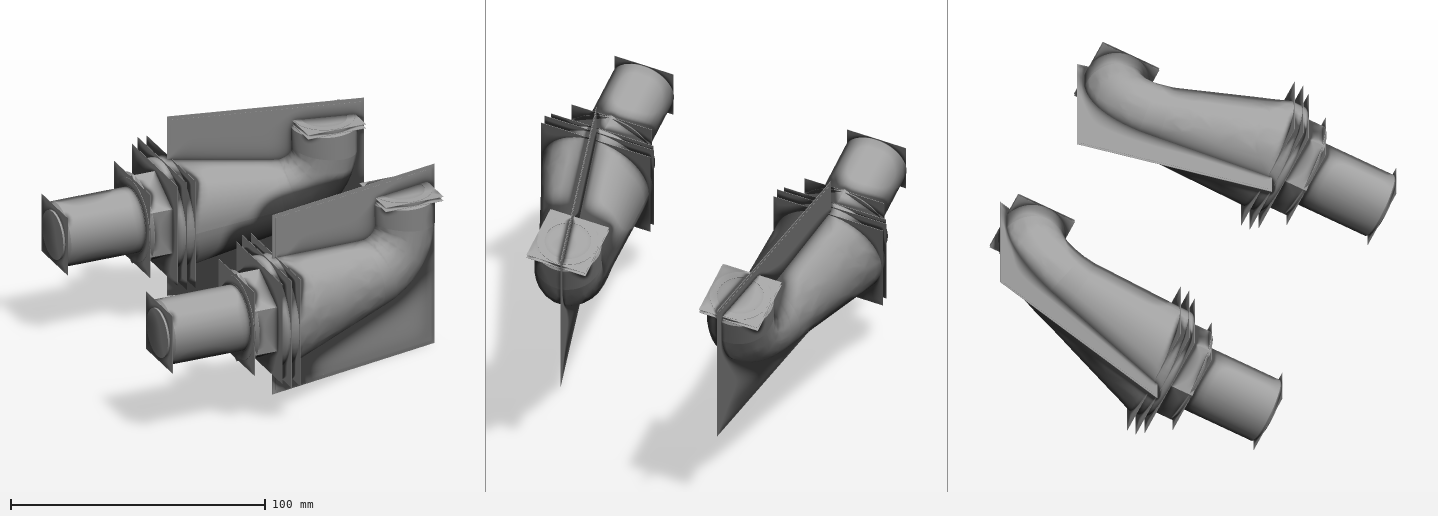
import cadquery as cq
import math


axis_x = 49.4
sheet = 0.1

tube_end_y = 0.9
nut_front_y = 34.3
collar_front_y = 44.2
collar_groove_y = 47.4
collar_back_y = 51.3

tube_r = 13.2
tube_chamfer = 1.2
tip_r = 10.0
tube_flange_half = 12.5

nut_across_flats = 33.1
nut_chamfer = 1.3
nut_cone_front_r = 17.6
nut_inner_land_r = 13.7
nut_flange_width = 34.0
nut_flange_height = 36.3
nut_land_r = nut_flange_width / 2

collar_r = 22.7
collar_fillet = 2.0
collar_flange_half = 23.3
collar_front_flange_half = 21.7

mouth_y = 111.5
mouth_r = 12.0
mouth_bore_r = 9.2
mouth_flange_half = 12.5
mouth_bottom_z = 32.8
mouth_top_z = 34.7

mouth_offset_x = 12.8
elbow_r = 13.2
elbow_run = math.hypot(mouth_offset_x, mouth_y - collar_back_y)
elbow_top_chamfer = 0.9
lean = math.degrees(math.atan2(mouth_offset_x, mouth_y - collar_back_y))
taper_end = (42.1, 3.5, 8.0, 15.1)
bend_start = (47.8, 4.5, 18.0, 14.5)
bend_middle = (57.8, 11.6, 50.0, 13.7)
bend_end = (61.5, 22.1, 83.0, elbow_r)
mouth_end = (elbow_run, mouth_bottom_z, 90.0, elbow_r)

plate_length = 79.5
plate_height = 78.0
plate_border = 1.6
plate_start = -1.7
plate_center_z = 2.6


def disc(radius, start_y, end_y):
    """Cylinder on the tube axis between two stations."""
    return cq.Workplane("XZ", origin=(0, end_y, 0)).circle(radius).extrude(end_y - start_y)


def flange(width, height, front_y):
    """Thin rectangular sheet across the tube axis, with its front face at the given station."""
    return cq.Workplane("XZ", origin=(0, front_y + sheet, 0)).rect(width, height).extrude(sheet)


def make_tube():
    tube = disc(tube_r, tube_end_y, collar_front_y).faces("<Y").chamfer(tube_chamfer)
    end_flange = flange(2 * tube_flange_half, 2 * tube_flange_half, tube_end_y)
    return tube.union(end_flange).union(disc(tip_r, 0, tube_end_y))


def make_nut():
    corner_diameter = nut_across_flats / math.cos(math.pi / 6)
    length = collar_front_y - nut_front_y
    hexagon = (
        cq.Workplane("XZ", origin=(0, collar_front_y, 0))
        .transformed(rotate=(0, 0, 90))
        .polygon(6, corner_diameter)
        .extrude(length)
    )
    cone = disc(nut_cone_front_r + nut_chamfer, nut_front_y, nut_front_y + nut_chamfer)
    cone = cone.faces("<Y").chamfer(nut_chamfer - sheet)
    front_flange = flange(nut_flange_width, nut_flange_height, nut_front_y)
    land = disc(nut_land_r, nut_front_y - sheet, nut_front_y)
    land = land.union(disc(nut_inner_land_r, nut_front_y - 2 * sheet, nut_front_y))
    bore = disc(tube_r, tube_end_y, collar_front_y)
    return hexagon.union(cone).union(front_flange).union(land).cut(bore)


def make_collar():
    collar = disc(collar_r, collar_front_y, collar_back_y).faces("<Y").edges().fillet(collar_fillet)
    side = 2 * collar_flange_half
    front_side = 2 * collar_front_flange_half
    collar = collar.union(flange(front_side, front_side, collar_front_y))
    collar = collar.union(flange(side, side, collar_groove_y))
    return collar.union(flange(side, side, collar_back_y - sheet))


def make_mouth_ring():
    origin = (mouth_offset_x, mouth_y, mouth_bottom_z)
    side = 2 * mouth_flange_half
    height = mouth_top_z - mouth_bottom_z
    base = cq.Workplane(origin=origin)
    ring = base.circle(mouth_r).extrude(height)
    ring = ring.union(base.rect(side, side).extrude(sheet))
    ring = ring.union(base.workplane(offset=height - sheet).rect(side, side).extrude(sheet))
    rim = base.workplane(offset=height).circle(mouth_r).circle(mouth_bore_r).extrude(sheet)
    return ring.union(rim)


def section(along, height, rise, radius, heading=0):
    """Circle centred in the YZ plane, facing along the rise angle and turned about Z by the heading."""
    angle = math.radians(rise)
    turn = math.radians(heading)
    center = cq.Vector(0, collar_back_y + along, height)
    level = math.cos(angle)
    facing = cq.Vector(-level * math.sin(turn), level * math.cos(turn), math.sin(angle))
    return cq.Wire.makeCircle(radius, center, facing)


def loft(*sections):
    """Solid skinned smoothly through the given circles in order."""
    return cq.Workplane(cq.Solid.makeLoft(list(sections)))


def make_plate():
    """Upright sheet in the middle plane, with a slightly thicker field inside its border."""
    center = (0, collar_back_y + plate_start + plate_length / 2, plate_center_z)
    border = cq.Workplane(origin=center).box(sheet, plate_length, plate_height)
    field_length = plate_length - 2 * plate_border
    field_height = plate_height - 2 * plate_border
    return border.union(cq.Workplane(origin=center).box(2 * sheet, field_length, field_height))


def make_elbow(collar, mouth_ring):
    base = section(0, 0, 0, collar_r, lean)
    taper = loft(base, section(*taper_end))
    transition = loft(section(*taper_end), section(*bend_start))
    bend = loft(section(*bend_start), section(*bend_middle), section(*bend_end))
    neck = loft(section(*bend_end), section(*mouth_end)).faces(">Z").chamfer(elbow_top_chamfer)
    elbow = taper.union(transition).union(bend).union(neck).union(make_plate())
    pivot = (0, collar_back_y, 0)
    elbow = elbow.rotate(pivot, (0, collar_back_y, 1), -lean)
    return elbow.cut(collar).cut(mouth_ring)


def make_connector():
    """All five bodies of the left connector, in place."""
    collar = make_collar()
    mouth_ring = make_mouth_ring()
    elbow = make_elbow(collar, mouth_ring)
    bodies = [make_tube(), make_nut(), collar, elbow, mouth_ring]
    return [body.translate((-axis_x, 0, 0)) for body in bodies]


left_bodies = make_connector()
right_bodies = [body.mirror("YZ") for body in left_bodies]

result = cq.Compound.makeCompound([body.solids().val() for body in left_bodies + right_bodies])